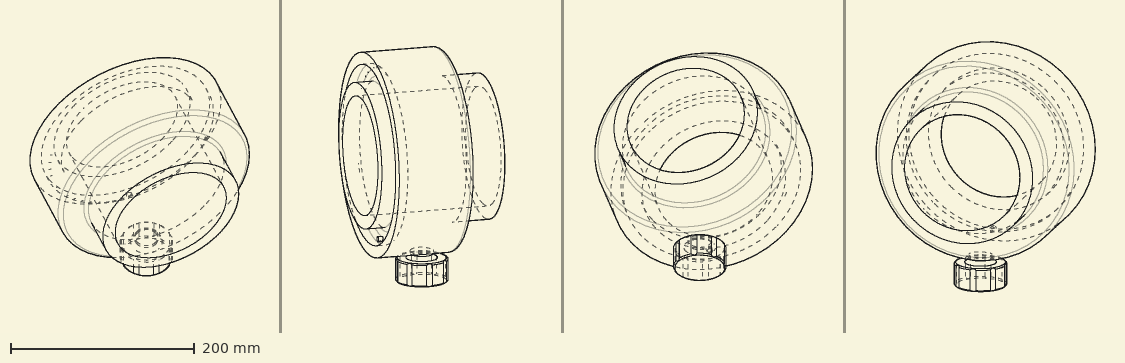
import cadquery as cq
import math

sleeve_length = 140.0
sleeve_radius = 160.0 / 2
bore_radius = 130.8 / 2

ring_radius = 225 / 2
ring_start = -sleeve_length / 2 + 9.8
ring_length = 85.3
ring_end = ring_start + ring_length
rim_fillet = 4.5
base_fillet = 4.0

groove_radius = 198.3 / 2
groove_depth = 15.3
groove_floor = ring_start + groove_depth
groove_fillet = 5.2

pin_radius = 6.0 / 2
pin_height = 5.2
pin_offset = 95.6

part_height = 258.5
knob_bottom = ring_radius - part_height
knob_height = 26.0
knob_top = knob_bottom + knob_height
knob_radius = 28.7
knob_chamfer = 1.5
neck_radius = 25.5 / 2
cone_radius = 17.3
cone_top = knob_top + cone_radius - neck_radius
neck_top = -(groove_radius + ring_radius) / 2

flute_count = 8
flute_width = 7.0
flute_depth = 1.3
flute_radius = (flute_width**2 / 4 + flute_depth**2) / (2 * flute_depth)


def cylinder_x(radius, start, end):
    """Solid cylinder on the X axis between two X positions."""
    return cq.Workplane("YZ", origin=(start, 0, 0)).circle(radius).extrude(end - start)


def make_groove():
    """Annular space between ring and sleeve, rounded at its floor."""
    groove = cylinder_x(groove_radius, ring_start, groove_floor)
    groove = groove.cut(cylinder_x(sleeve_radius, ring_start, groove_floor))
    return groove.faces(">X").edges().fillet(groove_fillet)


def make_body():
    """Sleeve and ring with the groove, the bore and the rounded rear edges."""
    sleeve_end = sleeve_length / 2
    rim_mid = rim_fillet * (1 - math.sqrt(0.5))
    base_mid = base_fillet * (1 - math.sqrt(0.5))
    half_section = (
        cq.Workplane("XY")
        .moveTo(-sleeve_end, 0)
        .lineTo(-sleeve_end, sleeve_radius)
        .lineTo(ring_start, sleeve_radius)
        .lineTo(ring_start, ring_radius)
        .lineTo(ring_end - rim_fillet, ring_radius)
        .threePointArc((ring_end - rim_mid, ring_radius - rim_mid), (ring_end, ring_radius - rim_fillet))
        .lineTo(ring_end, sleeve_radius + base_fillet)
        .threePointArc(
            (ring_end + base_mid, sleeve_radius + base_mid), (ring_end + base_fillet, sleeve_radius)
        )
        .lineTo(sleeve_end, sleeve_radius)
        .lineTo(sleeve_end, 0)
        .close()
    )
    body = half_section.revolve(360, (0, 0, 0), (1, 0, 0))
    body = body.cut(make_groove())
    return body.cut(cylinder_x(bore_radius, -sleeve_length / 2, sleeve_length / 2))


def make_pin():
    """Pin parallel to X at the bottom of the groove, rooted in the web."""
    pin = cylinder_x(pin_radius, groove_floor - pin_height, (groove_floor + ring_end) / 2)
    return pin.translate((0, 0, -pin_offset))


def make_knob():
    """Fluted grip with a cone and a neck that enters the ring wall."""
    grip = cq.Workplane("XY", origin=(0, 0, knob_bottom)).circle(knob_radius).extrude(knob_height)
    grip = grip.edges().chamfer(knob_chamfer)
    flute_offset = knob_radius - flute_depth + flute_radius
    flutes = (
        cq.Workplane("XY", origin=(0, 0, knob_bottom))
        .polarArray(flute_offset, 0, 360, flute_count)
        .circle(flute_radius)
        .extrude(knob_height)
    )
    stem = (
        cq.Workplane("XZ")
        .moveTo(0, knob_top)
        .lineTo(cone_radius, knob_top)
        .lineTo(neck_radius, cone_top)
        .lineTo(neck_radius, neck_top)
        .lineTo(0, neck_top)
        .close()
        .revolve(360, (0, 0, 0), (0, 1, 0))
    )
    return grip.cut(flutes).union(stem)


result = make_body().union(make_pin()).union(make_knob())